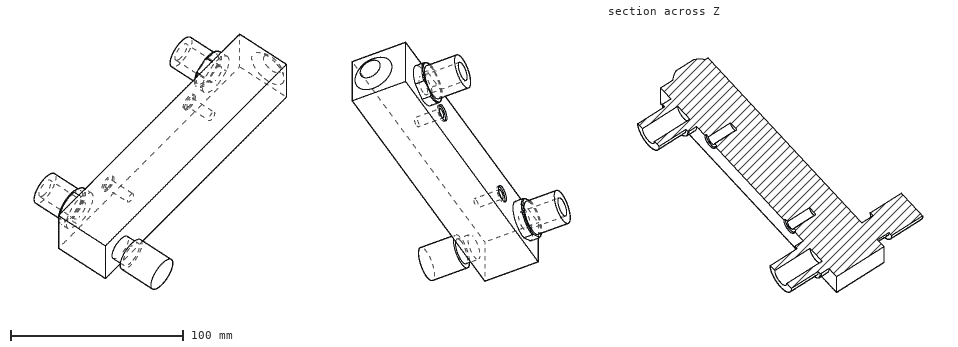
import cadquery as cq
import math

BLOCK_WIDTH = 34.9
BLOCK_HEIGHT = 32.0
TOTAL_LENGTH = 171.7
CAP_HEIGHT = 4.1
BLOCK_LENGTH = TOTAL_LENGTH - CAP_HEIGHT

FITTING_Y = 19.5
FITTING_SPACING = 125.9
COLLAR_DIAMETER = 24.7
COLLAR_LENGTH = 6.2
COLLAR_BEVEL_LENGTH = 0.7
COLLAR_BEVEL_DEPTH = 0.3
ACROSS_FLATS = 22.7
FLAT_TILT = 30.0
SPIGOT_DIAMETER = 20.5
FITTING_LENGTH = 25.8
BORE_DIAMETER = 11.2

MOUNT_Y = 45.2
MOUNT_SPACING = 75.2
MOUNT_DIAMETER = 5.7
MOUNT_DEPTH = 17.2
SPOTFACE_DIAMETER = 10.0
SPOTFACE_DEPTH = 1.0

KNOB_Y = 13.7
STEM_DIAMETER = 15.3
STEM_LENGTH = 8.0
KNOB_DIAMETER = 20.5
KNOB_LENGTH = 22.8

CAP_X = 21.0
CAP_BASE_RADIUS = 12.0
CAP_FLAT_RADIUS = 6.5


def cylinder_along_x(diameter, start_x, length, y):
    """Cylinder on the mid height of the block, running in +X from start_x."""
    start = cq.Vector(start_x, y, 0)
    return cq.Workplane(cq.Solid.makeCylinder(diameter / 2, length, start, cq.Vector(1, 0, 0)))


def make_block():
    return cq.Workplane("XY").box(BLOCK_WIDTH, BLOCK_LENGTH, BLOCK_HEIGHT, centered=(False, False, True))


def make_collar(y, flat_tilt):
    """Collar with a bevelled front rim and two opposite flats, turned about X by flat_tilt."""
    radius = COLLAR_DIAMETER / 2
    collar = (
        cq.Workplane("XY")
        .lineTo(0, radius)
        .lineTo(COLLAR_BEVEL_LENGTH - COLLAR_LENGTH, radius)
        .lineTo(-COLLAR_LENGTH, radius - COLLAR_BEVEL_DEPTH)
        .lineTo(-COLLAR_LENGTH, 0)
        .close()
        .revolve(360, (0, 0, 0), (1, 0, 0))
    )
    between_flats = cq.Workplane("XY").box(2 * COLLAR_LENGTH, 2 * COLLAR_DIAMETER, ACROSS_FLATS)
    collar = collar.intersect(between_flats)
    return collar.rotate((0, 0, 0), (1, 0, 0), flat_tilt).translate((0, y, 0))


def make_fitting(y, flat_tilt):
    spigot = cylinder_along_x(SPIGOT_DIAMETER, -FITTING_LENGTH, FITTING_LENGTH, y)
    return make_collar(y, flat_tilt).union(spigot)


def make_knob():
    stem = cylinder_along_x(STEM_DIAMETER, BLOCK_WIDTH, STEM_LENGTH, KNOB_Y)
    knob = cylinder_along_x(KNOB_DIAMETER, BLOCK_WIDTH + STEM_LENGTH, KNOB_LENGTH, KNOB_Y)
    return stem.union(knob)


def make_cap():
    """Flat-topped slice of a sphere whose centre lies on the cap axis, inside the block."""
    centre_depth = (CAP_BASE_RADIUS**2 - CAP_FLAT_RADIUS**2 - CAP_HEIGHT**2) / (2 * CAP_HEIGHT)
    sphere_radius = math.hypot(CAP_BASE_RADIUS, centre_depth)
    mid_radius = (CAP_BASE_RADIUS + CAP_FLAT_RADIUS) / 2
    mid_height = math.sqrt(sphere_radius**2 - mid_radius**2) - centre_depth
    cap = (
        cq.Workplane("XY")
        .lineTo(CAP_BASE_RADIUS, 0)
        .threePointArc((mid_radius, mid_height), (CAP_FLAT_RADIUS, CAP_HEIGHT))
        .lineTo(0, CAP_HEIGHT)
        .close()
        .revolve(360, (0, 0, 0), (0, 1, 0))
    )
    return cap.translate((CAP_X, BLOCK_LENGTH, 0))


result = make_block().union(make_knob()).union(make_cap())

for fitting_y, tilt in ((FITTING_Y, -FLAT_TILT), (FITTING_Y + FITTING_SPACING, FLAT_TILT)):
    result = result.union(make_fitting(fitting_y, tilt))
    result = result.cut(cylinder_along_x(BORE_DIAMETER, -FITTING_LENGTH, FITTING_LENGTH, fitting_y))

for mount_y in (MOUNT_Y, MOUNT_Y + MOUNT_SPACING):
    result = result.cut(cylinder_along_x(MOUNT_DIAMETER, 0, MOUNT_DEPTH, mount_y))
    result = result.cut(cylinder_along_x(SPOTFACE_DIAMETER, 0, SPOTFACE_DEPTH, mount_y))